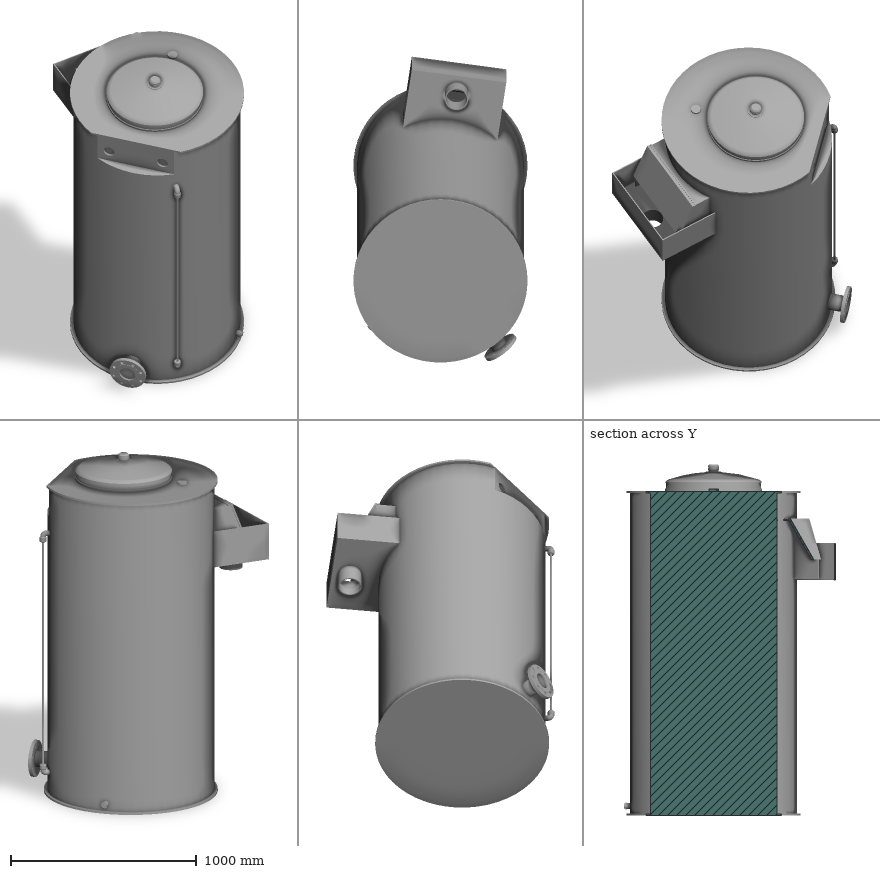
import cadquery as cq
import math

TOTAL_HEIGHT = 1890.0

TANK_RADIUS = 450.0
STUB_START = TANK_RADIUS - 19.0
PLATE_RADIUS = 469.0
PLATE_THICKNESS = 11.0
TANK_HEIGHT = 1748.0
FLAT_Y = -395.0
FLAT_BOTTOM_Z = 1567.0
PORT_DIAMETER = 60.0
PORT_SPACING = 300.0
PORT_Z = 1635.0
PORT_DEPTH = 11.0

LID_Y = -40.0
LID_RADIUS = 260.0
LID_NECK_RADIUS = 255.0
LID_FOOT_HEIGHT = 11.0
LID_NECK_HEIGHT = 43.0
LID_RIM_HEIGHT = 47.0
LID_SHOULDER_RADIUS = 232.0
LID_KNUCKLE_RADIUS = 251.0
LID_KNUCKLE_HEIGHT = 57.0
LID_SHOULDER_HEIGHT = 65.0
LID_HEIGHT = 102.0
VENT_BASE_DIAMETER = 80.0
VENT_BASE_HEIGHT = 4.0
VENT_BASE_Z = TANK_HEIGHT + LID_HEIGHT - VENT_BASE_HEIGHT / 2
VENT_NECK_DIAMETER = 53.0
VENT_CAP_DIAMETER = 60.0
VENT_CAP_HEIGHT = 30.0
VENT_GROOVE_DIAMETER = 57.0
VENT_GROOVE_WIDTH = 5.0
VENT_CHAMFER = 8.0

PLUG_DIAMETER = 53.0
PLUG_Y = 291.0
PLUG_HEIGHT = 11.0

BOX_ANGLE = 135.0
BOX_REACH = 705.0
BOX_WIDTH = 515.0
BOX_BOTTOM_Z = 1268.0
BOX_HEIGHT = 200.0
SHEET = 5.0
DRAIN_PIPE_X = 609.0
DRAIN_PIPE_DIAMETER = 125.0
DRAIN_PIPE_BORE = 113.0
DRAIN_PIPE_LENGTH = 98.0
HOOD_WIDTH = 461.0
HOOD_TOP_Z = 1599.0
HOOD_TOP_X = 499.0
CHEEK_SETBACK = 4.0
HOOD_LIP = 26.0
LIP_SLOT_WIDTH = 8.0
BAFFLE_THICKNESS = 10.0
BAFFLE_BOTTOM_X = 588.0
BAFFLE_BOTTOM_Z = 1380.0

OUTLET_Z = 130.0
OUTLET_PIPE_DIAMETER = 89.0
OUTLET_FACE_Y = -550.0
FLANGE_DIAMETER = 200.0
FLANGE_THICKNESS = 20.0
RAISED_FACE_DIAMETER = 138.0
RAISED_FACE_HEIGHT = 2.0
BOLT_CIRCLE_DIAMETER = 160.0
BOLT_HOLE_DIAMETER = 18.0
BOLT_COUNT = 8
OUTLET_RECESS_DEPTH = 11.0

GAUGE_ANGLE = -60.0
GAUGE_RADIUS = 484.0
GAUGE_LOW_Z = 130.0
GAUGE_HIGH_Z = 1475.0
GAUGE_TUBE_DIAMETER = 12.0
ELBOW_DIAMETER = 30.0
NUT_DIAMETER = 35.0
BEND_RADIUS = 17.0
NUT_HEIGHT = 30.0
NUT_CHAMFER = 4.0

DRAIN_Z = 51.0
DRAIN_DIAMETER = 34.0
DRAIN_COLLAR_DIAMETER = 35.0
DRAIN_COLLAR_X = 469.0
DRAIN_COLLAR_WIDTH = 5.0
DRAIN_PLUG_DIAMETER = 25.0
DRAIN_END_X = 482.0


def cylinder_z(diameter, bottom, top, x=0, y=0):
    """Upright cylinder between two heights."""
    return cq.Workplane("XY", origin=(x, y, bottom)).circle(diameter / 2).extrude(top - bottom)


def cylinder_x(diameter, start, end, z):
    """Cylinder along +X between two X positions."""
    return cq.Workplane("YZ", origin=(start, 0, z)).circle(diameter / 2).extrude(end - start)


def cylinder_y(diameter, front, back, z):
    """Cylinder along +Y between two Y positions."""
    return cq.Workplane("XZ", origin=(0, back, z)).circle(diameter / 2).extrude(back - front)


def turned(body, angle):
    return body.rotate((0, 0, 0), (0, 0, 1), angle)


tank_wall = cylinder_z(2 * TANK_RADIUS, 0, TANK_HEIGHT)


def make_tank():
    bottom_plate = cylinder_z(2 * PLATE_RADIUS, 0, PLATE_THICKNESS)
    top_plate = cylinder_z(2 * PLATE_RADIUS, TANK_HEIGHT - PLATE_THICKNESS, TANK_HEIGHT)
    tank = tank_wall.union(bottom_plate).union(top_plate)
    notch = cq.Workplane("XY", origin=(0, FLAT_Y, FLAT_BOTTOM_Z)).rect(
        2 * PLATE_RADIUS, 2 * (PLATE_RADIUS + FLAT_Y)
    ).extrude(TANK_HEIGHT - FLAT_BOTTOM_Z)
    notch = notch.translate((0, -(PLATE_RADIUS + FLAT_Y), 0))
    ports = (
        cq.Workplane("XZ", origin=(0, FLAT_Y, PORT_Z))
        .rarray(PORT_SPACING, 19, 2, 1)
        .circle(PORT_DIAMETER / 2)
        .extrude(-PORT_DEPTH)
    )
    return tank.cut(notch).cut(ports)


def make_lid():
    """Revolved lid with a grooved rim, a rounded knuckle and a shallow dome."""
    profile = (
        cq.Workplane("XZ")
        .lineTo(LID_RADIUS, 0)
        .lineTo(LID_RADIUS, LID_FOOT_HEIGHT)
        .lineTo(LID_NECK_RADIUS, LID_FOOT_HEIGHT)
        .lineTo(LID_NECK_RADIUS, LID_NECK_HEIGHT)
        .lineTo(LID_RADIUS, LID_NECK_HEIGHT)
        .lineTo(LID_RADIUS, LID_RIM_HEIGHT)
        .threePointArc(
            (LID_KNUCKLE_RADIUS, LID_KNUCKLE_HEIGHT),
            (LID_SHOULDER_RADIUS, LID_SHOULDER_HEIGHT),
        )
    )
    dome_rise = LID_HEIGHT - LID_SHOULDER_HEIGHT
    dome_radius = (LID_SHOULDER_RADIUS**2 + dome_rise**2) / (2 * dome_rise)
    middle_x = LID_SHOULDER_RADIUS / 2
    middle_z = LID_HEIGHT - dome_radius + math.sqrt(dome_radius**2 - middle_x**2)
    profile = profile.threePointArc((middle_x, middle_z), (0, LID_HEIGHT)).close()
    lid = profile.revolve(360, (0, 0, 0), (0, 1, 0)).translate((0, LID_Y, TANK_HEIGHT))
    return lid.cut(cylinder_z(VENT_BASE_DIAMETER, VENT_BASE_Z, TOTAL_HEIGHT, y=LID_Y))


def make_vent():
    base_top = VENT_BASE_Z + VENT_BASE_HEIGHT
    base = cylinder_z(VENT_BASE_DIAMETER, VENT_BASE_Z, base_top, y=LID_Y)
    neck = cylinder_z(VENT_NECK_DIAMETER, base_top, TOTAL_HEIGHT - VENT_CAP_HEIGHT, y=LID_Y)
    cap = cylinder_z(VENT_CAP_DIAMETER, TOTAL_HEIGHT - VENT_CAP_HEIGHT, TOTAL_HEIGHT, y=LID_Y)
    cap = cap.faces(">Z").edges().chamfer(VENT_CHAMFER)
    groove_bottom = TOTAL_HEIGHT - (VENT_CAP_HEIGHT + VENT_GROOVE_WIDTH) / 2
    groove_top = groove_bottom + VENT_GROOVE_WIDTH
    groove = cylinder_z(VENT_CAP_DIAMETER, groove_bottom, groove_top, y=LID_Y).cut(
        cylinder_z(VENT_GROOVE_DIAMETER, groove_bottom, groove_top, y=LID_Y)
    )
    cap = cap.cut(groove)
    return base.union(neck).union(cap)


def make_plug():
    return cylinder_z(PLUG_DIAMETER, TANK_HEIGHT, TANK_HEIGHT + PLUG_HEIGHT, y=PLUG_Y)


def extruded_across(points, width):
    """Outline in the XZ plane, extruded to a width centred on Y = 0."""
    return cq.Workplane("XZ").polyline(points).close().extrude(width / 2, both=True)


def make_hood():
    """Cheeks, lid and inclined baffle that cover the overflow at the tank wall."""
    floor_z = BOX_BOTTOM_Z + SHEET
    roof_z = HOOD_TOP_Z - SHEET
    slope = (BAFFLE_BOTTOM_X - HOOD_TOP_X) / (HOOD_TOP_Z - BAFFLE_BOTTOM_Z)
    baffle_x = BAFFLE_THICKNESS * math.hypot(1, slope)
    slot_x = HOOD_TOP_X - BAFFLE_THICKNESS
    slot_z = HOOD_TOP_Z - SHEET / 2
    baffle = extruded_across(
        [
            (BAFFLE_BOTTOM_X, BAFFLE_BOTTOM_Z),
            (HOOD_TOP_X, HOOD_TOP_Z),
            (slot_x, HOOD_TOP_Z),
            (slot_x, slot_z),
            (slot_x - LIP_SLOT_WIDTH, slot_z),
            (slot_x - LIP_SLOT_WIDTH, HOOD_TOP_Z),
            (HOOD_TOP_X - HOOD_LIP, HOOD_TOP_Z),
            (HOOD_TOP_X - HOOD_LIP, roof_z),
            (HOOD_TOP_X - baffle_x + SHEET * slope, roof_z),
            (BAFFLE_BOTTOM_X - baffle_x, BAFFLE_BOTTOM_Z),
        ],
        HOOD_WIDTH,
    )
    cheek_width = HOOD_WIDTH - 2 * CHEEK_SETBACK
    side = [
        (0, floor_z),
        (BAFFLE_BOTTOM_X - baffle_x, floor_z),
        (BAFFLE_BOTTOM_X - baffle_x, BAFFLE_BOTTOM_Z),
        (HOOD_TOP_X - baffle_x + SHEET * slope, roof_z),
        (0, roof_z),
    ]
    inside = cq.Workplane("XY", origin=(0, 0, floor_z)).rect(
        2 * BOX_REACH, cheek_width - 2 * SHEET
    ).extrude(roof_z - SHEET - floor_z)
    cover = extruded_across(side, cheek_width).cut(inside)
    return cover.union(baffle)


def make_overflow_box():
    outer = cq.Workplane("XY", origin=(0, 0, BOX_BOTTOM_Z)).rect(
        2 * BOX_REACH, BOX_WIDTH
    ).extrude(BOX_HEIGHT)
    inner = cq.Workplane("XY", origin=(0, 0, BOX_BOTTOM_Z + SHEET)).rect(
        2 * (BOX_REACH - SHEET), BOX_WIDTH - 2 * SHEET
    ).extrude(BOX_HEIGHT)
    pipe_bottom = BOX_BOTTOM_Z - DRAIN_PIPE_LENGTH
    pipe = cylinder_z(DRAIN_PIPE_DIAMETER, pipe_bottom, BOX_BOTTOM_Z, x=DRAIN_PIPE_X)
    bore = cylinder_z(DRAIN_PIPE_BORE, pipe_bottom, BOX_BOTTOM_Z + SHEET, x=DRAIN_PIPE_X)
    behind = cq.Workplane("XY", origin=(-BOX_REACH, 0, 0)).rect(
        2 * BOX_REACH, 2 * BOX_REACH
    ).extrude(TANK_HEIGHT)
    box = outer.cut(inner).union(pipe).union(make_hood()).cut(bore)
    return turned(box.cut(behind).cut(tank_wall), BOX_ANGLE)


def make_outlet():
    raised_back = OUTLET_FACE_Y + RAISED_FACE_HEIGHT
    flange_back = OUTLET_FACE_Y + FLANGE_THICKNESS
    raised_face = cylinder_y(RAISED_FACE_DIAMETER, OUTLET_FACE_Y, raised_back, OUTLET_Z)
    flange = cylinder_y(FLANGE_DIAMETER, raised_back, flange_back, OUTLET_Z)
    bolt_holes = (
        cq.Workplane("XZ", origin=(0, flange_back, OUTLET_Z))
        .polarArray(BOLT_CIRCLE_DIAMETER / 2, 180 / BOLT_COUNT, 360, BOLT_COUNT)
        .circle(BOLT_HOLE_DIAMETER / 2)
        .extrude(FLANGE_THICKNESS)
    )
    pipe = cylinder_y(OUTLET_PIPE_DIAMETER, flange_back, -STUB_START, OUTLET_Z)
    recess = cylinder_y(
        OUTLET_PIPE_DIAMETER, OUTLET_FACE_Y, OUTLET_FACE_Y + OUTLET_RECESS_DEPTH, OUTLET_Z
    )
    return raised_face.union(flange).cut(bolt_holes).union(pipe).cut(recess).cut(tank_wall)


def make_gauge_elbow(height, direction):
    """Elbow with its stub on the tank; direction is +1 for a nut above it, -1 below."""
    bend_start_x = GAUGE_RADIUS - BEND_RADIUS
    bend_end_z = height + direction * BEND_RADIUS
    bend_middle = BEND_RADIUS * math.sqrt(0.5)
    path = (
        cq.Workplane("XZ")
        .moveTo(STUB_START, height)
        .lineTo(bend_start_x, height)
        .threePointArc(
            (bend_start_x + bend_middle, bend_end_z - direction * bend_middle),
            (GAUGE_RADIUS, bend_end_z),
        )
    )
    pipe = (
        cq.Workplane("YZ", origin=(STUB_START, 0, height))
        .circle(ELBOW_DIAMETER / 2)
        .sweep(path)
        .cut(tank_wall)
    )
    nut_end_z = bend_end_z + direction * NUT_HEIGHT
    nut = cylinder_z(
        NUT_DIAMETER, min(bend_end_z, nut_end_z), max(bend_end_z, nut_end_z), x=GAUGE_RADIUS
    )
    nut = nut.edges().chamfer(NUT_CHAMFER)
    return turned(pipe.union(nut), GAUGE_ANGLE)


def make_gauge_tube():
    reach = BEND_RADIUS + NUT_HEIGHT
    tube = cylinder_z(
        GAUGE_TUBE_DIAMETER, GAUGE_LOW_Z + reach, GAUGE_HIGH_Z - reach, x=GAUGE_RADIUS
    )
    return turned(tube, GAUGE_ANGLE)


def make_drain():
    collar_end = DRAIN_COLLAR_X + DRAIN_COLLAR_WIDTH
    socket = cylinder_x(DRAIN_DIAMETER, STUB_START, DRAIN_COLLAR_X, DRAIN_Z)
    collar = cylinder_x(DRAIN_COLLAR_DIAMETER, DRAIN_COLLAR_X, collar_end, DRAIN_Z)
    plug = cylinder_x(DRAIN_PLUG_DIAMETER, collar_end, DRAIN_END_X, DRAIN_Z)
    return socket.union(collar).union(plug).cut(tank_wall)


tank = make_tank()
lid = make_lid()
vent = make_vent()
plug = make_plug()
overflow_box = make_overflow_box()
outlet = make_outlet()
gauge_tube = make_gauge_tube()
gauge_elbows = [
    make_gauge_elbow(height, direction)
    for height, direction in [(GAUGE_LOW_Z, 1), (GAUGE_HIGH_Z, -1)]
]
drain = make_drain()

result = cq.Compound.makeCompound(
    [
        tank.val(),
        lid.val(),
        vent.val(),
        plug.val(),
        overflow_box.val(),
        outlet.val(),
        gauge_tube.val(),
        *[elbow.val() for elbow in gauge_elbows],
        drain.val(),
    ]
)